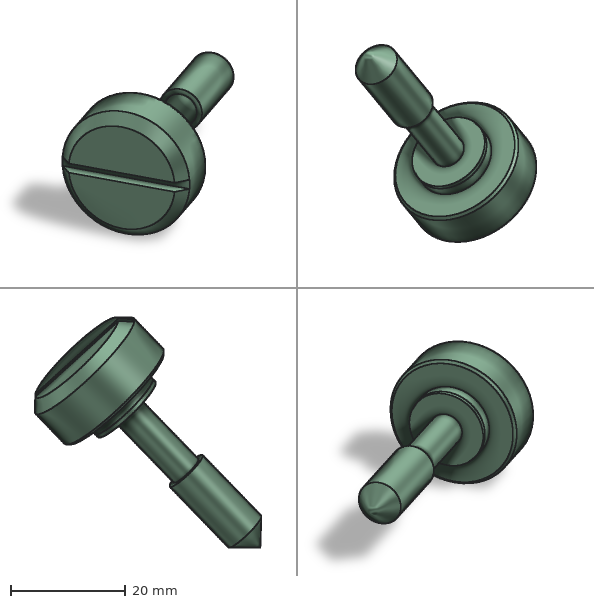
import cadquery as cq


head_radius = 12.0
head_length = 10.0
front_chamfer = 2.0
rear_chamfer = 0.5
slot_width = 1.8
slot_depth = front_chamfer

collar_radius = 7.0
collar_length = 2.0
washer_thickness = 0.8

neck_radius = 3.0
thread_radius = 4.0
thread_start = 28.0
screw_length = 47.0
point_length = thread_radius

collar_end = head_length + collar_length
thread_end = screw_length - point_length


def make_screw():
    """Turned screw with a slotted head, a collar, a thin neck and a pointed end."""
    half_profile = (
        cq.Workplane("XY")
        .moveTo(0, 0)
        .lineTo(head_radius - front_chamfer, 0)
        .lineTo(head_radius, front_chamfer)
        .lineTo(head_radius, head_length - rear_chamfer)
        .lineTo(head_radius - rear_chamfer, head_length)
        .lineTo(collar_radius, head_length)
        .lineTo(collar_radius, collar_end)
        .lineTo(neck_radius, collar_end)
        .lineTo(neck_radius, thread_start)
        .lineTo(thread_radius, thread_start)
        .lineTo(thread_radius, thread_end)
        .lineTo(0, screw_length)
        .close()
    )
    body = half_profile.revolve(360, (0, 0, 0), (0, 1, 0))
    return body.cut(make_slot())


def make_slot():
    """Driver slot along X, across the full width of the head face."""
    return cq.Workplane("XY").box(
        2 * head_radius, slot_depth, slot_width, centered=(True, False, True)
    )


def make_washer():
    """Flat ring around the neck, seated on the collar and as wide as the collar."""
    return (
        cq.Workplane("XZ", origin=(0, collar_end, 0))
        .circle(collar_radius)
        .circle(neck_radius)
        .extrude(-washer_thickness)
    )


screw = make_screw()
washer = make_washer()

result = cq.Compound.makeCompound([screw.val(), washer.val()])